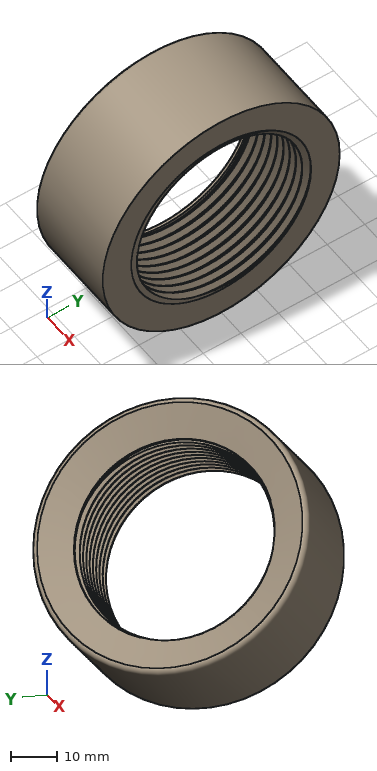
import cadquery as cq
import math

collar_length = 25.5
collar_radius = 63 / 2
rim_radius = 1.25
dish_depth = 3.15
entry_radius = 45.8 / 2
land_length = 0.8

root_radius = 47.8 / 2
crest_radius = 44.7 / 2
turns_per_collar_length = 11
pitch = collar_length / turns_per_collar_length
flank_angle = math.radians(55 / 2)
crest_width = 0.3
ridge_height = root_radius - crest_radius
base_width = crest_width + 2 * ridge_height * math.tan(flank_angle)
thread_start = dish_depth + land_length


def make_collar():
    """Revolve the wall section about the X axis."""
    arc_mid = rim_radius * (1 - math.sqrt(0.5))
    return (
        cq.Workplane("XY")
        .moveTo(dish_depth, entry_radius)
        .lineTo(0, collar_radius - rim_radius)
        .threePointArc((arc_mid, collar_radius - arc_mid), (rim_radius, collar_radius))
        .lineTo(collar_length, collar_radius)
        .lineTo(collar_length, root_radius)
        .lineTo(thread_start, root_radius)
        .lineTo(thread_start, entry_radius)
        .close()
        .revolve(360, (0, 0, 0), (1, 0, 0))
    )


def make_thread():
    """Sweep the ridge section along a right-hand helix and trim it square to the bore ends."""
    sweep_start = thread_start - 2 * pitch
    helix_length = collar_length + pitch - sweep_start
    helix = cq.Wire.makeHelix(
        pitch, helix_length, root_radius, cq.Vector(sweep_start, 0, 0), cq.Vector(1, 0, 0)
    )
    start = helix.startPoint()
    radial = cq.Vector(0, start.y, start.z).normalized()
    section_plane = cq.Plane(
        origin=(sweep_start, 0, 0), xDir=(1, 0, 0), normal=cq.Vector(1, 0, 0).cross(radial)
    )
    ridge = (
        cq.Workplane(section_plane)
        .moveTo(-base_width / 2, root_radius)
        .lineTo(-crest_width / 2, crest_radius)
        .lineTo(crest_width / 2, crest_radius)
        .lineTo(base_width / 2, root_radius)
        .close()
        .sweep(cq.Workplane(helix), isFrenet=True)
    )
    threaded_zone = (
        cq.Workplane("YZ", origin=(thread_start, 0, 0))
        .circle(collar_radius)
        .extrude(collar_length - thread_start)
    )
    return ridge.intersect(threaded_zone)


collar = make_collar()
thread = make_thread()
result = cq.Compound.makeCompound([collar.val(), *thread.solids().vals()])